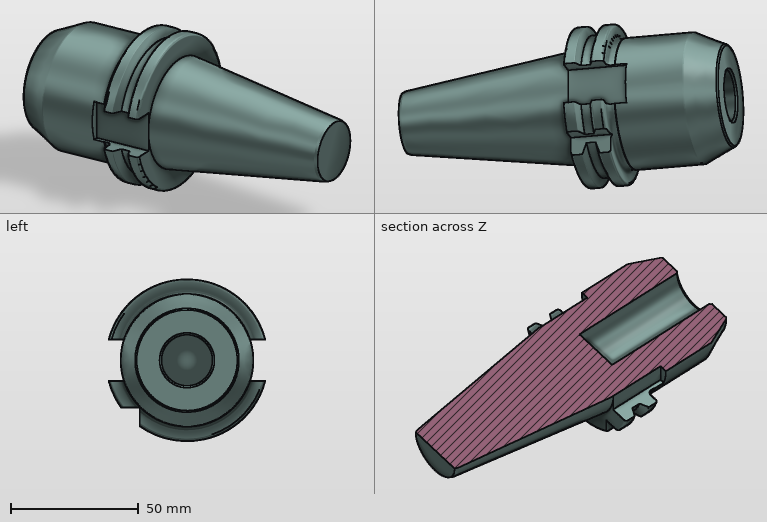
import cadquery as cq

total_length = 131.4

body_radius = 26.0
nose_radius = 20.4
nose_edge = 0.7
nose_length = 12.7
shoulder_blend = 1.3
neck_start = 40.5
neck_radius = 25.8
neck_blend = 1.7

flange_start = 43.8
flange_end = 59.9
flange_diameter = 63.5
flange_radius = flange_diameter / 2
flange_edge = 1.0
groove_center = 51.8
groove_floor_width = 3.7
groove_top_width = 7.1
groove_rim_blend = 0.5
groove_floor_radius = 28.1

taper_ratio = 7 / 24
taper_start_radius = 22.9
taper_tip_edge = 1.3
taper_tip_drop = 0.5

slot_width = 16.2
slot_start = 35.9
slot_floor = 22.7
notch_offset = 18.5

bore_radius = 10.0
bore_depth = 49.9
bore_chamfer = 0.8


def ring_at(x):
    """Selector for the circular edge lying in the plane X = x."""
    reach = 2 * flange_radius
    tolerance = 0.1
    return cq.selectors.BoxSelector(
        (x - tolerance, -reach, -reach),
        (x + tolerance, reach, reach),
        boundingbox=True,
    )


def turned_blank():
    """Revolve the outer profile of the holder."""
    tip_start = total_length - taper_tip_edge
    tip_radius = taper_start_radius - (tip_start - flange_end) * taper_ratio / 2
    neck_step = body_radius - neck_radius
    profile = (
        cq.Workplane("XY")
        .moveTo(0, 0)
        .lineTo(0, nose_radius - nose_edge)
        .lineTo(nose_edge, nose_radius)
        .lineTo(nose_length, body_radius)
        .lineTo(neck_start, body_radius)
        .lineTo(neck_start + neck_step, neck_radius)
        .lineTo(flange_start - neck_blend, neck_radius)
        .radiusArc((flange_start, neck_radius + neck_blend), -neck_blend)
        .lineTo(flange_start, flange_radius - flange_edge)
        .radiusArc((flange_start + flange_edge, flange_radius), flange_edge)
        .lineTo(groove_center - groove_top_width / 2, flange_radius)
        .lineTo(groove_center - groove_floor_width / 2, groove_floor_radius)
        .lineTo(groove_center + groove_floor_width / 2, groove_floor_radius)
        .lineTo(groove_center + groove_top_width / 2, flange_radius)
        .lineTo(flange_end - flange_edge, flange_radius)
        .radiusArc((flange_end, flange_radius - flange_edge), flange_edge)
        .lineTo(flange_end, taper_start_radius)
        .lineTo(tip_start, tip_radius)
        .lineTo(total_length, tip_radius - taper_tip_drop)
        .lineTo(total_length, 0)
        .close()
    )
    blank = profile.revolve(360, (0, 0, 0), (1, 0, 0))
    blank = blank.edges(ring_at(nose_length)).fillet(shoulder_blend)
    for rim_side in (-1, 1):
        rim = ring_at(groove_center + rim_side * groove_top_width / 2)
        blank = blank.edges(rim).fillet(groove_rim_blend)
    return blank


def drive_slot(side):
    """Cutter for a flat-floored slot on the +Y (side = 1) or -Y (side = -1) side."""
    depth = flange_radius - slot_floor
    center_y = side * (slot_floor + depth / 2)
    return (
        cq.Workplane("XY")
        .box(flange_end - slot_start, depth, slot_width, centered=(False, True, True))
        .translate((slot_start, center_y, 0))
    )


def orientation_notch():
    """Cutter for the square notch through the flange at +Y, -Z."""
    size = flange_radius - notch_offset
    start = flange_start - neck_blend
    return (
        cq.Workplane("XY")
        .box(flange_end - start, size, size, centered=False)
        .translate((start, notch_offset, -flange_radius))
    )


def tool_bore():
    """Cutter for the blind bore with its chamfered mouth."""
    return (
        cq.Workplane("XY")
        .moveTo(0, 0)
        .lineTo(0, bore_radius + bore_chamfer)
        .lineTo(bore_chamfer, bore_radius)
        .lineTo(bore_depth, bore_radius)
        .lineTo(bore_depth, 0)
        .close()
        .revolve(360, (0, 0, 0), (1, 0, 0))
    )


result = turned_blank().cut(tool_bore()).cut(orientation_notch())
for slot_side in (1, -1):
    result = result.cut(drive_slot(slot_side))